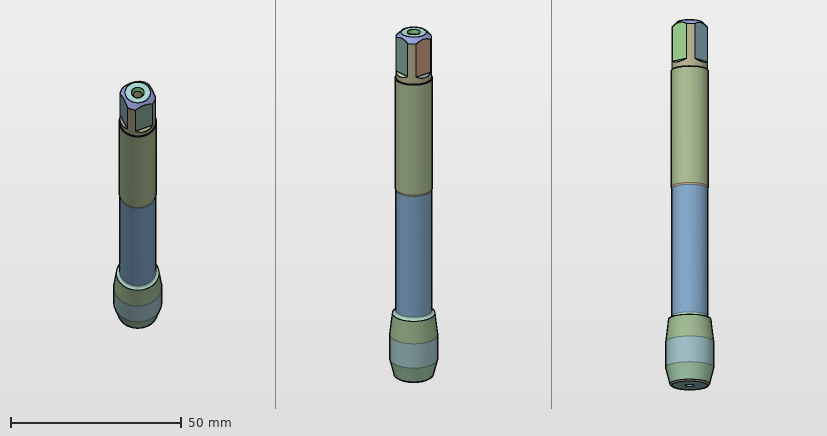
import cadquery as cq
import math

LENGTH = 110.0
COOLANT_DIAMETER = 2.5

HEAD_LENGTH = 20.0
HEAD_RADIUS = 14.2 / 2
HEAD_BACK_RADIUS = 6.3
NOSE_RADIUS = 5.3
NOSE_CHAMFER_RADIUS = 5.8
NOSE_CHAMFER_HEIGHT = 0.4
LEAD_TOP = 5.4
BACK_TAPER_START = 13.2

NECK_RADIUS = 10.7 / 2
SHANK_RADIUS = 11.0 / 2
COLLAR_RADIUS = 10.6 / 2
ROOT_FILLET = HEAD_BACK_RADIUS - NECK_RADIUS
SHANK_START = 59.6
SHANK_TAPER_HEIGHT = 0.5
SHANK_END = 95.6
SHANK_END_CHAMFER = SHANK_RADIUS - COLLAR_RADIUS

SQUARE_WIDTH = 9.0
FLAT_END = 97.9
RAMP_ANGLE = 45.0
END_FACE_RADIUS = 3.7
END_CHAMFER = COLLAR_RADIUS - END_FACE_RADIUS
COUNTERSINK_DIAMETER = 3.7
COUNTERSINK_DEPTH = 1.1


def coolant_hole():
    """Axial bore that runs through both bodies."""
    return cq.Workplane("XY").circle(COOLANT_DIAMETER / 2).extrude(LENGTH)


def make_cutting_head():
    """Head with a tapered lead, a full-diameter band and a back taper."""
    profile = (
        cq.Workplane("XZ")
        .moveTo(0, 0)
        .lineTo(NOSE_RADIUS, 0)
        .lineTo(NOSE_CHAMFER_RADIUS, NOSE_CHAMFER_HEIGHT)
        .lineTo(HEAD_RADIUS, LEAD_TOP)
        .lineTo(HEAD_RADIUS, BACK_TAPER_START)
        .lineTo(HEAD_BACK_RADIUS, HEAD_LENGTH)
        .lineTo(0, HEAD_LENGTH)
        .close()
    )
    return profile.revolve(360, (0, 0), (0, 1)).cut(coolant_hole())


def shank_blank():
    """Turned shank: filleted root, neck, full-diameter length and collar."""
    fillet_sag = ROOT_FILLET * (1 - math.sqrt(0.5))
    profile = (
        cq.Workplane("XZ")
        .moveTo(0, HEAD_LENGTH)
        .lineTo(HEAD_BACK_RADIUS, HEAD_LENGTH)
        .threePointArc(
            (NECK_RADIUS + fillet_sag, HEAD_LENGTH + fillet_sag),
            (NECK_RADIUS, HEAD_LENGTH + ROOT_FILLET),
        )
        .lineTo(NECK_RADIUS, SHANK_START)
        .lineTo(SHANK_RADIUS, SHANK_START + SHANK_TAPER_HEIGHT)
        .lineTo(SHANK_RADIUS, SHANK_END - SHANK_END_CHAMFER)
        .lineTo(COLLAR_RADIUS, SHANK_END)
        .lineTo(COLLAR_RADIUS, LENGTH - END_CHAMFER)
        .lineTo(END_FACE_RADIUS, LENGTH)
        .lineTo(0, LENGTH)
        .close()
    )
    return profile.revolve(360, (0, 0), (0, 1))


def flat_cutter():
    """Cutter for the +X flat, with a ramp falling outward at its lower end."""
    flat_x = SQUARE_WIDTH / 2
    outer_x = SHANK_RADIUS
    ramp_drop = (outer_x - flat_x) * math.tan(math.radians(RAMP_ANGLE))
    return (
        cq.Workplane("XZ")
        .moveTo(flat_x, FLAT_END)
        .lineTo(outer_x, FLAT_END - ramp_drop)
        .lineTo(outer_x, LENGTH)
        .lineTo(flat_x, LENGTH)
        .close()
        .extrude(SHANK_RADIUS, both=True)
    )


def countersink():
    """Conical mouth of the coolant hole in the driven end."""
    return (
        cq.Workplane("XZ")
        .moveTo(0, LENGTH - COUNTERSINK_DEPTH)
        .lineTo(COOLANT_DIAMETER / 2, LENGTH - COUNTERSINK_DEPTH)
        .lineTo(COUNTERSINK_DIAMETER / 2, LENGTH)
        .lineTo(0, LENGTH)
        .close()
        .revolve(360, (0, 0), (0, 1))
    )


def make_shank():
    """Shank with a driving square, coolant hole and countersink."""
    shank = shank_blank()
    for angle in (0, 90, 180, 270):
        shank = shank.cut(flat_cutter().rotate((0, 0, 0), (0, 0, 1), angle))
    return shank.cut(coolant_hole()).cut(countersink())


cutting_head = make_cutting_head()
shank = make_shank()
result = cq.Compound.makeCompound([cutting_head.val(), shank.val()])